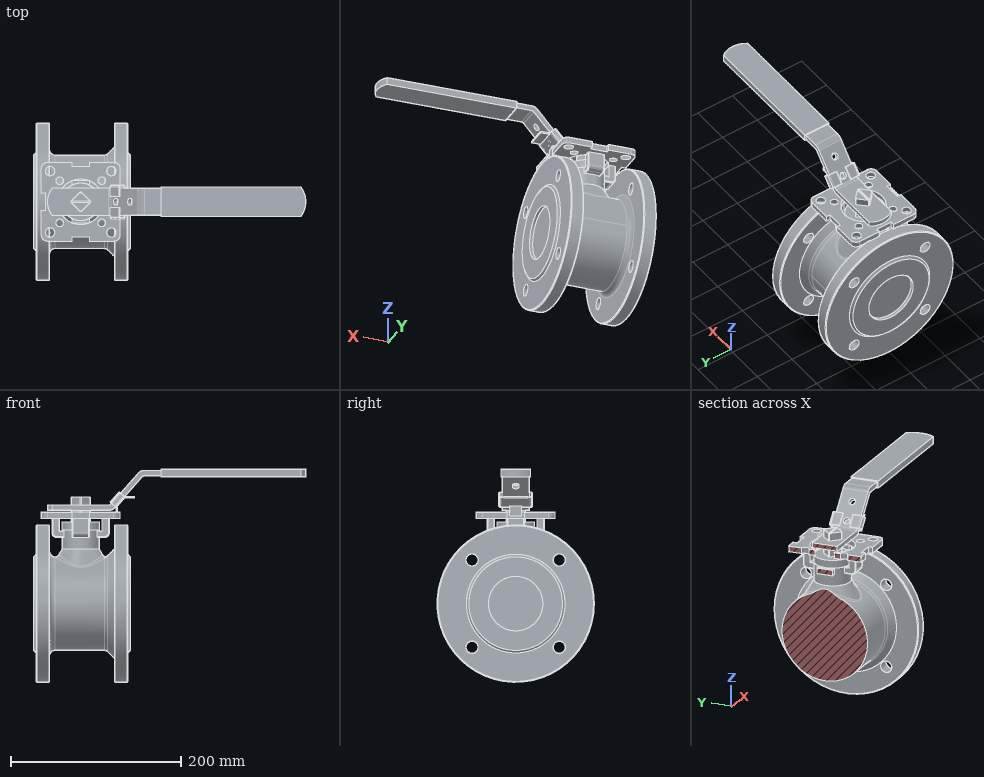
import cadquery as cq
import math


OVERALL_LENGTH = 320.0

FACE_LEFT = -55.3
FACE_RIGHT = 58.4
RAISED_HEIGHT = 2.8
RAISED_TIP_RADIUS = 55.0
RAISED_ROOT_RADIUS = 58.0
FLANGE_RADIUS = 92.5
FLANGE_THICKNESS = 16.0
FLANGE_CHAMFER = 1.0
BOLT_CIRCLE = 145.0
BOLT_HOLE_DIAMETER = 14.0
BARREL_RADIUS = 55.0
ROOT_FILLET = 6.5
CONE_GROWTH = 9.4
CONE_FILLET = 5.4
BORE_DIAMETER = 64.0
BORE_DEPTH = 4.0

NECK_RADIUS = 22.0
NECK_FLARE_TOP = 64.0
FLARE_ANGLE = math.radians(30)
FLARE_BLEND = 5.0
FLARE_FOOT = 35.0
NECK_TOP = 86.3
COLLAR_RADIUS = 22.2
COLLAR_TOP = 96.0

PLATE_SIZE = 92.7
PLATE_BOTTOM = 100.0
PLATE_TOP = 107.5
PLATE_CORNER = 7.5
PLATE_OPENING = 53.5
OUTER_HOLES = (102.0, 11.0)
INNER_HOLES = (70.0, 9.0)
NOTCH_WIDTH = 20.5
NOTCH_DEPTH = 5.0
LEG_WIDTH = 20.5
LEG_OUTER = 33.7
LEG_THICKNESS = 8.7
LEG_BOTTOM = 77.7
FOOT_THICKNESS = 7.5
LEG_BEND = 5.5
LEG_EDGE_CHAMFER = 1.0

STEM_SQUARE = 17.0
STEM_CORNER_DIAMETER = 22.6
STEM_TOP = 125.5
STEM_CHAMFER = 0.7
SLOT_WIDTH = 1.4
SLOT_DEPTH = 1.0

LEVER_BOTTOM = 109.5
LEVER_THICKNESS = 6.5
LEVER_WIDTH = 32.0
LEVER_LEFT = -39.0
LEVER_END_SAG = 5.5
SLOPE = math.radians(48.5)
BEND_X = 36.0
BEND_OUTER_RADIUS = 10.0
UPPER_CENTER_Z = 153.5
LEVER_HOLE_DIAMETER = 8.0
LEVER_HOLE_DISTANCES = (11.5, 36.5)
GRIP_LEFT = 94.5
GRIP_RIGHT = FACE_LEFT + OVERALL_LENGTH
GRIP_BOTTOM = 149.0
GRIP_TOP = 158.0
GRIP_WIDTH = 35.0
GRIP_END_SAG = 6.0

CLIP_START = 4.0
CLIP_END = 20.0
CLIP_SHEET = 1.55
CLIP_LIFT = 0.7
CLIP_WIDTH = 40.0
CLIP_GAP = 13.0
CLIP_CORNER = 3.0
PULL_TAB_WIDTH = 28.0
PULL_TAB_THICKNESS = 2.0
PULL_TAB_Z = 125.2
PULL_TAB_RIGHT = 63.0
LATCH_X = 42.5
LATCH_WIDTH = 14.0
LATCH_BOTTOM = PLATE_BOTTOM + 3.0

SELECT_MARGIN = 0.5

LEVER_CENTER_Z = LEVER_BOTTOM + LEVER_THICKNESS / 2


def box(x0, x1, y0, y1, z0, z1):
    """Axis-aligned box given by its limits."""
    return cq.Workplane("XY").box(x1 - x0, y1 - y0, z1 - z0, centered=False).translate((x0, y0, z0))


def slope_plane():
    """Plane on the lever mid-surface: local x climbs the slope, local z is normal to it."""
    return cq.Plane(
        origin=(BEND_X, 0, LEVER_CENTER_Z),
        xDir=(math.cos(SLOPE), 0, math.sin(SLOPE)),
        normal=(-math.sin(SLOPE), 0, math.cos(SLOPE)),
    )


def flange(inner_x, outer_x):
    """Flange disc with chamfered rims, a tapered raised face and four bolt holes."""
    disc = cq.Workplane("YZ", origin=(min(inner_x, outer_x), 0, 0)).circle(FLANGE_RADIUS)
    disc = disc.extrude(abs(outer_x - inner_x)).edges().chamfer(FLANGE_CHAMFER)
    tip_x = FACE_RIGHT if outer_x > inner_x else FACE_LEFT
    raised = (
        cq.Workplane("XY")
        .polyline([
            (inner_x, 0),
            (inner_x, RAISED_ROOT_RADIUS),
            (outer_x, RAISED_ROOT_RADIUS),
            (tip_x, RAISED_TIP_RADIUS),
            (tip_x, 0),
        ])
        .close()
        .revolve(360, (0, 0, 0), (1, 0, 0))
    )
    bolt_spacing = BOLT_CIRCLE * math.sqrt(0.5)
    holes = (
        cq.Workplane("YZ", origin=(FACE_LEFT, 0, 0))
        .rect(bolt_spacing, bolt_spacing, forConstruction=True)
        .vertices()
        .circle(BOLT_HOLE_DIAMETER / 2)
        .extrude(FACE_RIGHT - FACE_LEFT)
    )
    return disc.union(raised).cut(holes)


def valve_body():
    """Barrel between two flanges, flared neck and collar; the ball closes the bore."""
    left_inner = FACE_LEFT + RAISED_HEIGHT + FLANGE_THICKNESS
    left_outer = FACE_LEFT + RAISED_HEIGHT
    right_outer = FACE_RIGHT - RAISED_HEIGHT
    right_inner = right_outer - FLANGE_THICKNESS
    arc_drop = ROOT_FILLET * (1 - math.sqrt(0.5))
    barrel = (
        cq.Workplane("XY")
        .moveTo(left_inner, 0)
        .lineTo(left_inner, BARREL_RADIUS + ROOT_FILLET)
        .threePointArc(
            (left_inner + arc_drop, BARREL_RADIUS + arc_drop),
            (left_inner + ROOT_FILLET, BARREL_RADIUS),
        )
        .lineTo(right_inner - CONE_GROWTH, BARREL_RADIUS)
        .lineTo(right_inner, BARREL_RADIUS + CONE_GROWTH)
        .lineTo(right_inner, 0)
        .close()
        .revolve(360, (0, 0, 0), (1, 0, 0))
    )
    cone_root = cq.selectors.BoxSelector(
        (right_inner - CONE_GROWTH - SELECT_MARGIN, -BARREL_RADIUS, -BARREL_RADIUS),
        (right_inner - CONE_GROWTH + SELECT_MARGIN, BARREL_RADIUS, BARREL_RADIUS),
    )
    barrel = barrel.edges(cone_root).fillet(CONE_FILLET)
    flare_foot_radius = NECK_RADIUS + (NECK_FLARE_TOP - FLARE_FOOT) * math.tan(FLARE_ANGLE)
    neck = (
        cq.Workplane("XZ")
        .polyline([
            (0, FLARE_FOOT),
            (flare_foot_radius, FLARE_FOOT),
            (NECK_RADIUS, NECK_FLARE_TOP),
            (NECK_RADIUS, NECK_TOP),
            (COLLAR_RADIUS, NECK_TOP),
            (COLLAR_RADIUS, COLLAR_TOP),
            (0, COLLAR_TOP),
        ])
        .close()
        .revolve(360, (0, 0, 0), (0, 1, 0))
    )
    core = cq.Workplane("YZ", origin=(left_inner, 0, 0)).circle(BARREL_RADIUS)
    core = core.extrude(right_inner - left_inner)
    core = core.union(neck)
    flare_joint = cq.selectors.BoxSelector(
        (-flare_foot_radius, -flare_foot_radius, FLARE_FOOT),
        (flare_foot_radius, flare_foot_radius, NECK_FLARE_TOP - SELECT_MARGIN),
    )
    core = core.edges(flare_joint).edges("not (%CIRCLE or %LINE)").fillet(FLARE_BLEND)
    body = core.union(barrel)
    body = body.union(flange(left_inner, left_outer)).union(flange(right_inner, right_outer))
    for recess_x in (FACE_LEFT, FACE_RIGHT - BORE_DEPTH):
        recess = cq.Workplane("YZ", origin=(recess_x, 0, 0)).circle(BORE_DIAMETER / 2)
        body = body.cut(recess.extrude(BORE_DEPTH))
    return body


def mounting_leg():
    """L-shaped leg on the -X side: down from the plate, then inward to the neck."""
    leg_inner = -LEG_OUTER + LEG_THICKNESS
    foot_top = LEG_BOTTOM + FOOT_THICKNESS
    foot_end = -NECK_RADIUS / 2
    leg = (
        cq.Workplane("XZ")
        .polyline([
            (-LEG_OUTER, PLATE_BOTTOM),
            (-LEG_OUTER, LEG_BOTTOM),
            (foot_end, LEG_BOTTOM),
            (foot_end, foot_top),
            (leg_inner, foot_top),
            (leg_inner, PLATE_BOTTOM),
        ])
        .close()
        .extrude(LEG_WIDTH / 2, both=True)
    )
    bend_edge = cq.selectors.NearestToPointSelector((-LEG_OUTER, 0, LEG_BOTTOM))
    leg = leg.edges(bend_edge).fillet(LEG_BEND)
    return leg.faces("<X").edges("|Z").chamfer(LEG_EDGE_CHAMFER)


def mounting_plate():
    """Square plate with edge notches, two bolt circles, a centre opening and four legs."""
    thickness = PLATE_TOP - PLATE_BOTTOM
    plate = (
        cq.Workplane("XY", origin=(0, 0, PLATE_BOTTOM))
        .rect(PLATE_SIZE, PLATE_SIZE)
        .extrude(thickness)
        .edges("|Z")
        .fillet(PLATE_CORNER)
        .faces(">Z")
        .workplane()
        .hole(PLATE_OPENING)
    )
    for circle_diameter, hole_diameter in (OUTER_HOLES, INNER_HOLES):
        spacing = circle_diameter * math.sqrt(0.5)
        plate = (
            plate.faces(">Z")
            .workplane(origin=(0, 0, PLATE_TOP))
            .rect(spacing, spacing, forConstruction=True)
            .vertices()
            .hole(hole_diameter)
        )
    half = PLATE_SIZE / 2
    notch = box(-half, NOTCH_DEPTH - half, -NOTCH_WIDTH / 2, NOTCH_WIDTH / 2, PLATE_BOTTOM, PLATE_TOP)
    leg = mounting_leg()
    for turn in range(4):
        plate = plate.cut(notch.rotate((0, 0, 0), (0, 0, 1), 90 * turn))
        plate = plate.union(leg.rotate((0, 0, 0), (0, 0, 1), 90 * turn))
    return plate


def stem():
    """Square stem set on its corners, with rounded corners and a slot across the top."""
    height = STEM_TOP - NECK_TOP
    base = cq.Workplane("XY", origin=(0, 0, NECK_TOP))
    square = base.rect(STEM_SQUARE, STEM_SQUARE).extrude(height).rotate((0, 0, 0), (0, 0, 1), 45)
    envelope = base.circle(STEM_CORNER_DIAMETER / 2).extrude(height).faces(">Z").chamfer(STEM_CHAMFER)
    reach = STEM_CORNER_DIAMETER / 2
    slot = box(-reach, reach, -SLOT_WIDTH / 2, SLOT_WIDTH / 2, STEM_TOP - SLOT_DEPTH, STEM_TOP)
    return square.intersect(envelope).cut(slot)


def lever():
    """Flat bar bent up along a slope and back to level, with a grip sleeve on its end."""
    rise = UPPER_CENTER_Z - LEVER_CENTER_Z
    upper_bend_x = BEND_X + rise / math.tan(SLOPE)
    half = LEVER_THICKNESS / 2
    miter = half * math.tan(SLOPE / 2)
    bar = (
        cq.Workplane("XZ")
        .polyline([
            (LEVER_LEFT, LEVER_CENTER_Z - half),
            (BEND_X + miter, LEVER_CENTER_Z - half),
            (upper_bend_x + miter, UPPER_CENTER_Z - half),
            (GRIP_LEFT + LEVER_THICKNESS, UPPER_CENTER_Z - half),
            (GRIP_LEFT + LEVER_THICKNESS, UPPER_CENTER_Z + half),
            (upper_bend_x - miter, UPPER_CENTER_Z + half),
            (BEND_X - miter, LEVER_CENTER_Z + half),
            (LEVER_LEFT, LEVER_CENTER_Z + half),
        ])
        .close()
        .extrude(LEVER_WIDTH / 2, both=True)
    )
    bend_inner_radius = BEND_OUTER_RADIUS - LEVER_THICKNESS
    bends = (
        (BEND_X + miter, LEVER_CENTER_Z - half, BEND_OUTER_RADIUS),
        (BEND_X - miter, LEVER_CENTER_Z + half, bend_inner_radius),
        (upper_bend_x + miter, UPPER_CENTER_Z - half, bend_inner_radius),
        (upper_bend_x - miter, UPPER_CENTER_Z + half, BEND_OUTER_RADIUS),
    )
    for bend_x, bend_z, radius in bends:
        bend_edge = cq.selectors.NearestToPointSelector((bend_x, 0, bend_z))
        bar = bar.edges(bend_edge).fillet(radius)
    outline = (
        cq.Workplane("XY", origin=(0, 0, LEVER_BOTTOM))
        .moveTo(LEVER_LEFT + LEVER_END_SAG, -LEVER_WIDTH / 2)
        .threePointArc((LEVER_LEFT, 0), (LEVER_LEFT + LEVER_END_SAG, LEVER_WIDTH / 2))
        .lineTo(GRIP_RIGHT, LEVER_WIDTH / 2)
        .lineTo(GRIP_RIGHT, -LEVER_WIDTH / 2)
        .close()
        .extrude(GRIP_TOP - LEVER_BOTTOM)
    )
    bar = bar.intersect(outline)
    for distance in LEVER_HOLE_DISTANCES:
        hole = cq.Workplane(slope_plane()).center(distance, 0).circle(LEVER_HOLE_DIAMETER / 2)
        bar = bar.cut(hole.extrude(LEVER_THICKNESS, both=True))
    grip = (
        cq.Workplane("XY", origin=(0, 0, GRIP_BOTTOM))
        .moveTo(GRIP_LEFT, -GRIP_WIDTH / 2)
        .lineTo(GRIP_RIGHT - GRIP_END_SAG, -GRIP_WIDTH / 2)
        .threePointArc((GRIP_RIGHT, 0), (GRIP_RIGHT - GRIP_END_SAG, GRIP_WIDTH / 2))
        .lineTo(GRIP_LEFT, GRIP_WIDTH / 2)
        .close()
        .extrude(GRIP_TOP - GRIP_BOTTOM)
    )
    return bar.union(grip)


def locking_clip():
    """Sheet clip around the lever, with a pull tab and a latch dropping into the plate notch."""
    middle = (CLIP_START + CLIP_END) / 2
    length = CLIP_END - CLIP_START
    height = LEVER_THICKNESS + 2 * CLIP_SHEET
    slope = slope_plane()
    center = slope.toWorldCoords((middle, 0, CLIP_LIFT))
    clip_plane = cq.Workplane(cq.Plane(origin=center, xDir=slope.xDir, normal=slope.zDir))
    shell = clip_plane.box(length, CLIP_WIDTH, height)
    shell = shell.edges(cq.selectors.ParallelDirSelector(slope.xDir)).fillet(CLIP_CORNER)
    shell = shell.cut(clip_plane.box(length, CLIP_WIDTH - 2 * CLIP_SHEET, LEVER_THICKNESS))
    shell = shell.cut(clip_plane.box(length, CLIP_GAP, height).translate(slope.zDir * (height / 2)))

    web_offset = CLIP_LIFT - (LEVER_THICKNESS + CLIP_SHEET) / 2
    web_start = slope.toWorldCoords((CLIP_START, 0, web_offset))
    web_end = slope.toWorldCoords((CLIP_END, 0, web_offset))
    pull_tab = (
        cq.Workplane("XY")
        .box(PULL_TAB_RIGHT - web_end.x + CLIP_SHEET, PULL_TAB_WIDTH, PULL_TAB_THICKNESS)
        .translate(((PULL_TAB_RIGHT + web_end.x - CLIP_SHEET) / 2, 0, PULL_TAB_Z))
    )
    latch = box(
        LATCH_X - CLIP_SHEET / 2, LATCH_X + CLIP_SHEET / 2,
        -LATCH_WIDTH / 2, LATCH_WIDTH / 2,
        LATCH_BOTTOM, web_start.z + CLIP_SHEET,
    )
    return shell.union(pull_tab).union(latch)


result = valve_body().union(mounting_plate()).union(stem()).union(lever()).union(locking_clip())